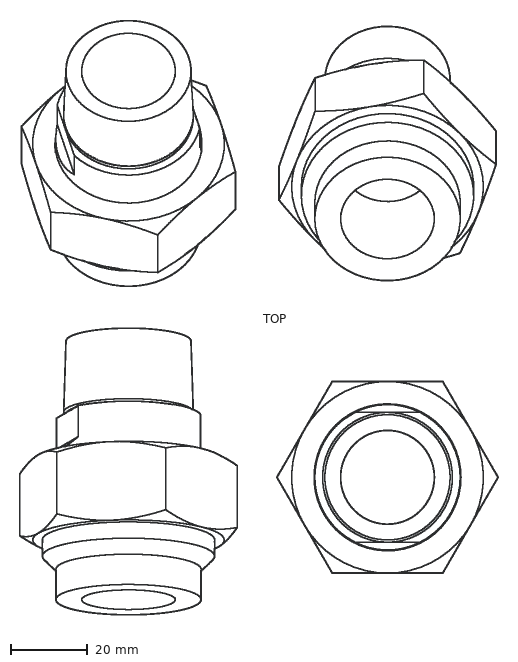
import cadquery as cq
import math


TOTAL_HEIGHT = 69.0
CONE_BOTTOM = 8.1
NUT_BOTTOM = 15.95
NUT_TOP = 36.9
LIP_THICKNESS = 4.5
FLANGE_THICKNESS = 4.15
COLLAR_TOP = 48.9
THREAD_BOTTOM = 50.0
FLAT_BOTTOM = 40.6

BORE_RADIUS = 12.2
COLLAR_RADIUS = 19.0
SHOULDER_RADIUS = 22.5
GROOVE_RADIUS = 16.35
THREAD_TOP_RADIUS = 16.35
THREAD_TAPER = 1 / 32
LIP_CLEARANCE = 0.2
NUT_ACROSS_FLATS = 50.0
NUT_CHAMFER_ANGLE = 30.0
WRENCH_ACROSS_FLATS = 33.95

cone_top = CONE_BOTTOM + SHOULDER_RADIUS - COLLAR_RADIUS
flange_top = NUT_TOP - LIP_THICKNESS
flange_bottom = flange_top - FLANGE_THICKNESS
thread_bottom_radius = THREAD_TOP_RADIUS + THREAD_TAPER * (TOTAL_HEIGHT - THREAD_BOTTOM)
groove_middle = (COLLAR_TOP + THREAD_BOTTOM) / 2
nut_corner_radius = NUT_ACROSS_FLATS / 2 / math.cos(math.radians(30))


def revolve_profile(points):
    """Turn a closed (radius, height) outline about the Z axis."""
    return cq.Workplane("XZ").polyline(points).close().revolve(360, (0, 0), (0, 1))


def make_socket_end():
    """Lower end: plain tube, 45 degree cone and the shoulder that enters the nut."""
    return revolve_profile([
        (BORE_RADIUS, 0),
        (COLLAR_RADIUS, 0),
        (COLLAR_RADIUS, CONE_BOTTOM),
        (SHOULDER_RADIUS, cone_top),
        (SHOULDER_RADIUS, flange_bottom),
        (BORE_RADIUS, flange_bottom),
    ])


def make_wrench_cutter():
    """Cutter for one wrench flat on the -Y side, with a 45 degree run-out at its lower end."""
    flat = WRENCH_ACROSS_FLATS / 2
    depth = COLLAR_RADIUS - flat
    return (
        cq.Workplane("YZ")
        .polyline([
            (-flat, COLLAR_TOP),
            (-flat, FLAT_BOTTOM),
            (-flat - depth, FLAT_BOTTOM - depth),
            (-flat - depth, COLLAR_TOP),
        ])
        .close()
        .extrude(COLLAR_RADIUS, both=True)
    )


def make_tailpiece():
    """Upper end: captive flange, collar with two wrench flats, V groove and tapered thread."""
    body = revolve_profile([
        (BORE_RADIUS, flange_bottom),
        (SHOULDER_RADIUS, flange_bottom),
        (SHOULDER_RADIUS, flange_top),
        (COLLAR_RADIUS, flange_top),
        (COLLAR_RADIUS, COLLAR_TOP),
        (thread_bottom_radius, COLLAR_TOP),
        (GROOVE_RADIUS, groove_middle),
        (thread_bottom_radius, THREAD_BOTTOM),
        (THREAD_TOP_RADIUS, TOTAL_HEIGHT),
        (BORE_RADIUS, TOTAL_HEIGHT),
    ])
    for angle in (0, 180):
        body = body.cut(make_wrench_cutter().rotate((0, 0, 0), (0, 0, 1), angle))
    return body


def make_nut():
    """Hexagonal nut with conically chamfered corners and a stepped bore."""
    hexagon = (
        cq.Workplane("XY")
        .workplane(offset=NUT_BOTTOM)
        .polygon(6, 2 * nut_corner_radius)
        .extrude(NUT_TOP - NUT_BOTTOM)
    )
    face_radius = NUT_ACROSS_FLATS / 2
    chamfer_height = (nut_corner_radius - face_radius) * math.tan(math.radians(NUT_CHAMFER_ANGLE))
    lip_radius = COLLAR_RADIUS + LIP_CLEARANCE
    turned_blank = revolve_profile([
        (SHOULDER_RADIUS, NUT_BOTTOM),
        (face_radius, NUT_BOTTOM),
        (nut_corner_radius, NUT_BOTTOM + chamfer_height),
        (nut_corner_radius, NUT_TOP - chamfer_height),
        (face_radius, NUT_TOP),
        (lip_radius, NUT_TOP),
        (lip_radius, flange_top),
        (SHOULDER_RADIUS, flange_top),
    ])
    return hexagon.intersect(turned_blank)


socket_end = make_socket_end()
tailpiece = make_tailpiece()
nut = make_nut()

result = cq.Compound.makeCompound([socket_end.val(), tailpiece.val(), nut.val()])